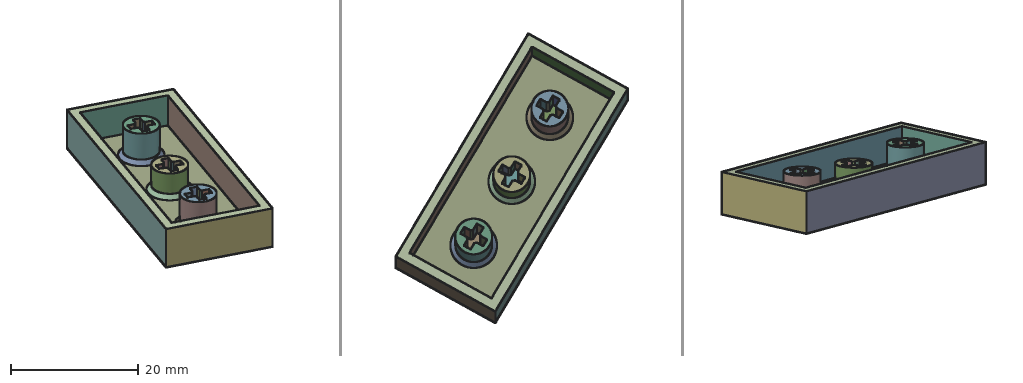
import cadquery as cq

length = 41.85
width = 18.05
height = 6.9
wall = 1.6
floor = 1.5

stem_pitch = 12.0
stem_diameter = 5.8
end_stem_top = height
middle_stem_top = 5.9
flare = 0.75

cross_span = 4.1
cross_arm = 1.2
socket_corner_chamfer = 0.3

stems = [
    (-stem_pitch, end_stem_top),
    (0, middle_stem_top),
    (stem_pitch, end_stem_top),
]


def make_tray():
    """Rectangular tray, open at the top."""
    body = cq.Workplane("XY").box(length, width, height, centered=(True, True, False))
    cavity = (
        cq.Workplane("XY")
        .workplane(offset=floor)
        .rect(length - 2 * wall, width - 2 * wall)
        .extrude(height - floor)
    )
    return body.cut(cavity)


def make_stem(stem_top):
    """Round post with a conical foot, revolved about Z; it starts at the tray's underside."""
    radius = stem_diameter / 2
    return (
        cq.Workplane("XZ")
        .moveTo(0, 0)
        .lineTo(radius + flare, 0)
        .lineTo(radius + flare, floor)
        .lineTo(radius, floor + flare)
        .lineTo(radius, stem_top)
        .lineTo(0, stem_top)
        .close()
        .revolve(360, (0, 0, 0), (0, 1, 0))
    )


def make_socket(stem_top):
    """Cross-shaped blind hole that reaches down to the floor of the tray."""
    depth = stem_top - floor
    bottom = cq.Workplane("XY").workplane(offset=floor)
    along_x = bottom.rect(cross_span, cross_arm).extrude(depth)
    along_y = bottom.rect(cross_arm, cross_span).extrude(depth)
    core = cq.selectors.BoxSelector(
        (-cross_arm, -cross_arm, floor),
        (cross_arm, cross_arm, stem_top),
    )
    return along_x.union(along_y).edges("|Z").edges(core).chamfer(socket_corner_chamfer)


result = make_tray()
for x, stem_top in stems:
    result = result.union(make_stem(stem_top).translate((x, 0, 0)))
    result = result.cut(make_socket(stem_top).translate((x, 0, 0)))